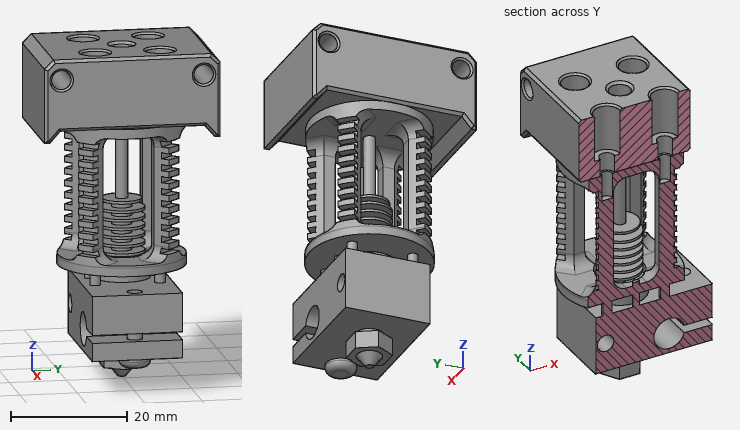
import cadquery as cq
import math

mount_x_min = -11.35
mount_width = 22.0
mount_length = 30.8
mount_top = 58.5
mount_underside = 45.85
mount_leg_bottom = 43.8
mount_top_chamfer = 1.6
mount_edge_chamfer = 0.5
leg_foot_width = 0.95
leg_root_width = 2.75
side_hole_diameter = 3.4
side_hole_inset = 2.9
side_hole_drop = 3.55
side_hole_chamfer = 0.35
tube_hole_diameter = 4.0
tube_hole_chamfer = 0.45
bolt_offset = 5.7
bolt_head_diameter = 5.0
bolt_head_chamfer = 0.35
bolt_clearance_diameter = 2.8
bolt_ledge_thickness = 3.5

cage_diameter = 22.0
rim_diameter = 22.35
rim_bottom = 19.95
rim_edge = 21.45
window_bottom = 21.8
window_top = 44.15
window_half_width = 4.45
window_fillet = 2.45
post_width = 3.05
groove_floor_diameter = 18.95
groove_bottom = 23.05
groove_top = 42.95
fin_count = 9
fin_pitch = 2.1
fin_thickness = 1.05
top_fin_top = 41.8
cage_bolt_diameter = 2.0
cage_bolt_depth = 5.0
plate_hole_diameter = 9.0

bore_diameter = 1.9
neck_diameter = 2.15
core_diameter = 3.5
disc_fin_count = 7
disc_fin_pitch = 1.5
disc_fin_thickness = 0.45
disc_fin_top = 31.5
disc_fin_diameter = 8.0
top_disc_fin_diameter = 7
collar_diameter = 9.95
collar_top = 19.65

block_x_min = -8.0
block_x_max = 15.0
block_length = 15.8
block_bottom = 6.1
block_top = 17.55
sensor_hole_diameter = 3.15
sensor_hole_x = -6.0
sensor_hole_z = 11.75
heater_hole_diameter = 5.95
heater_hole_x = 6.5
heater_hole_z = 10.0
clamp_slot_height = 1.4
standoff_diameter = 1.9
pin_diameter = 1.35
pin_offset = 5.85
pin_top = 22.45

nozzle_shank_diameter = 5.0
nozzle_shank_length = 7.5
hex_across_flats = 6.95
hex_turn = 30
hex_bottom = 1.95
hex_top = 5.1
cone_diameter = 4.55
tip_diameter = 1.35

screw_x = 12.4
screw_diameter = 2.65
screw_head_diameter = 5.5
screw_head_height = 1.7
screw_head_fillet = 1.3


def cylinder(diameter, bottom, top, x=0, y=0):
    """Vertical cylinder between two heights."""
    return cq.Workplane("XY", origin=(x, y, bottom)).circle(diameter / 2).extrude(top - bottom)


def countersink(diameter, chamfer, top, x, y):
    """Cone that breaks the upper edge of a vertical hole."""
    radius = diameter / 2
    cone = cq.Solid.makeCone(radius, radius + chamfer, chamfer, cq.Vector(x, y, top - chamfer))
    return cq.Workplane(cone)


def bolt_places():
    """The four corner points shared by the bolts, the posts and the standoffs."""
    return [(sx * bolt_offset, sy * bolt_offset) for sx in (-1, 1) for sy in (-1, 1)]


def make_mount():
    half = mount_length / 2
    foot = half - leg_foot_width
    root = half - leg_root_width
    chamfer_y = half - mount_top_chamfer
    chamfer_z = mount_top - mount_top_chamfer
    right_side = [
        (root, mount_underside),
        (foot, mount_leg_bottom),
        (half, mount_leg_bottom),
        (half, chamfer_z),
        (chamfer_y, mount_top),
    ]
    left_side = [(-y, z) for y, z in reversed(right_side)]
    body = (
        cq.Workplane("YZ", origin=(mount_x_min, 0, 0))
        .polyline(right_side + left_side)
        .close()
        .extrude(mount_width)
        .faces("<X or >X")
        .chamfer(mount_edge_chamfer)
    )
    body = cut_side_holes(body)
    body = body.cut(cylinder(tube_hole_diameter, mount_underside, mount_top))
    body = body.cut(countersink(tube_hole_diameter, tube_hole_chamfer, mount_top, 0, 0))
    ledge = mount_underside + bolt_ledge_thickness
    for x, y in bolt_places():
        body = body.cut(cylinder(bolt_clearance_diameter, mount_underside, mount_top, x, y))
        body = body.cut(cylinder(bolt_head_diameter, ledge, mount_top, x, y))
        body = body.cut(countersink(bolt_head_diameter, bolt_head_chamfer, mount_top, x, y))
    return body


def cut_side_holes(body):
    """Two cross holes along X, chamfered at both mouths."""
    radius = side_hole_diameter / 2
    mouth = radius + side_hole_chamfer
    profile = [
        (0, 0),
        (0, mouth),
        (side_hole_chamfer, radius),
        (mount_width - side_hole_chamfer, radius),
        (mount_width, mouth),
        (mount_width, 0),
    ]
    tool = cq.Workplane("XY").polyline(profile).close().revolve(360, (0, 0, 0), (1, 0, 0))
    hole_y = mount_length / 2 - side_hole_inset
    for side in (-1, 1):
        body = body.cut(tool.translate((mount_x_min, side * hole_y, mount_top - side_hole_drop)))
    return body


def make_window_cutter():
    """Cross-shaped opening between the posts, rounded along its floor and ceiling."""
    reach = cage_diameter
    inner = window_half_width
    side_start = inner + post_width / math.sqrt(2)
    spread = inner + reach - side_start
    arm = [(inner, -inner), (side_start, -inner), (reach, -spread), (reach, spread), (side_start, inner)]
    outline = []
    for cos, sin in [(1, 0), (0, 1), (-1, 0), (0, -1)]:
        outline += [(x * cos - y * sin, x * sin + y * cos) for x, y in arm]
    return (
        cq.Workplane("XY", origin=(0, 0, window_bottom))
        .polyline(outline)
        .close()
        .extrude(window_top - window_bottom)
        .faces("<Z or >Z")
        .edges()
        .fillet(window_fillet)
    )


def make_cage_blank():
    """Turned outline of the cage with its fins, before the windows are cut."""
    radius = cage_diameter / 2
    rim_radius = rim_diameter / 2
    profile = [
        (0, rim_bottom),
        (rim_radius, rim_bottom),
        (rim_radius, rim_edge),
        (radius, groove_bottom),
        (radius, mount_underside),
        (0, mount_underside),
    ]
    blank = cq.Workplane("XZ").polyline(profile).close().revolve(360, (0, 0, 0), (0, 1, 0))
    fin_tops = [top_fin_top - i * fin_pitch for i in range(fin_count)]
    ceilings = [groove_top] + [top - fin_thickness for top in fin_tops]
    floors = fin_tops + [groove_bottom]
    for floor, ceiling in zip(floors, ceilings):
        ring = cylinder(rim_diameter, floor, ceiling).cut(cylinder(groove_floor_diameter, floor, ceiling))
        blank = blank.cut(ring)
    return blank


def make_cage():
    cage = make_cage_blank().cut(make_window_cutter())
    cage = cage.cut(cylinder(plate_hole_diameter, rim_bottom, window_bottom + window_fillet))
    for x, y in bolt_places():
        cage = cage.cut(
            cylinder(cage_bolt_diameter, mount_underside - cage_bolt_depth, mount_underside, x, y)
        )
    return cage


def make_heat_break():
    """Thin tube with a finned core above a collar."""
    fin_tops = [disc_fin_top - i * disc_fin_pitch for i in range(disc_fin_count)]
    core_bottom = fin_tops[-1] - disc_fin_thickness
    heat_break = cylinder(neck_diameter, block_top, window_top)
    heat_break = heat_break.union(cylinder(core_diameter, core_bottom, disc_fin_top))
    for top in fin_tops:
        diameter = top_disc_fin_diameter if top == disc_fin_top else disc_fin_diameter
        heat_break = heat_break.union(cylinder(diameter, top - disc_fin_thickness, top))
    return heat_break.union(cylinder(collar_diameter, block_top, collar_top))


def cross_hole(diameter, x, z):
    """Hole through the heater block along Y."""
    return cq.Workplane("XZ", origin=(x, 0, z)).circle(diameter / 2).extrude(block_length / 2, both=True)


def make_block():
    block_width = block_x_max - block_x_min
    block_height = block_top - block_bottom
    block = cq.Workplane("XY").box(block_width, block_length, block_height, centered=(False, True, False))
    block = block.translate((block_x_min, 0, block_bottom))
    slot = cq.Workplane("XY").box(
        block_x_max - heater_hole_x, block_length, clamp_slot_height, centered=(False, True, True)
    )
    block = block.cut(slot.translate((heater_hole_x, 0, heater_hole_z)))
    block = block.cut(cross_hole(heater_hole_diameter, heater_hole_x, heater_hole_z))
    block = block.cut(cross_hole(sensor_hole_diameter, sensor_hole_x, sensor_hole_z))
    block = block.cut(cylinder(screw_diameter, block_bottom, block_top, screw_x))
    return block.cut(cylinder(nozzle_shank_diameter, block_bottom, hex_top + nozzle_shank_length))


def make_hot_end():
    hot_end = make_cage().union(make_heat_break()).union(make_block())
    for x, y in bolt_places():
        hot_end = hot_end.union(cylinder(standoff_diameter, block_top, rim_bottom, x, y))
    for side in (-1, 1):
        hot_end = hot_end.union(cylinder(pin_diameter, block_top, pin_top, 0, side * pin_offset))
    return hot_end.cut(cylinder(bore_diameter, hex_top + nozzle_shank_length, mount_underside))


def make_nozzle():
    shank = cylinder(nozzle_shank_diameter, hex_top, hex_top + nozzle_shank_length)
    hexagon = (
        cq.Workplane("XY", origin=(0, 0, hex_bottom))
        .polygon(6, hex_across_flats, circumscribed=True)
        .extrude(hex_top - hex_bottom)
        .rotate((0, 0, 0), (0, 0, 1), hex_turn)
    )
    cone = cq.Solid.makeCone(tip_diameter / 2, cone_diameter / 2, hex_bottom)
    return shank.union(hexagon).union(cq.Workplane(cone))


def make_screw():
    head_bottom = block_bottom - screw_head_height
    head = cylinder(screw_head_diameter, head_bottom, block_bottom, screw_x)
    head = head.faces("<Z").edges().fillet(screw_head_fillet)
    return head.union(cylinder(screw_diameter, block_bottom, block_top, screw_x))


mount = make_mount()
hot_end = make_hot_end()
nozzle = make_nozzle()
screw = make_screw()
result = cq.Compound.makeCompound([mount.val(), hot_end.val(), nozzle.val(), screw.val()])